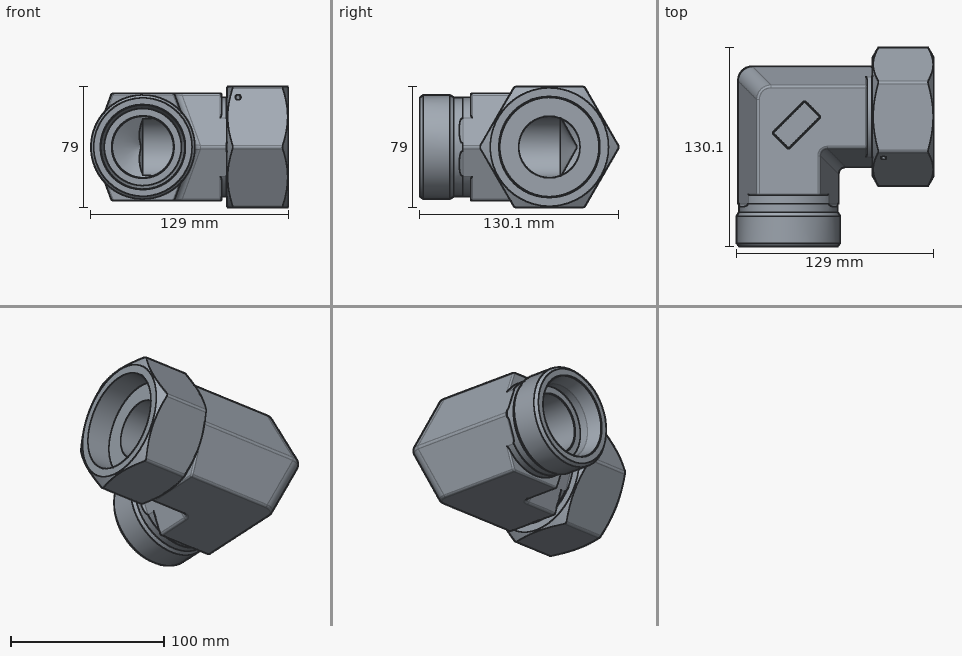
import cadquery as cq
import math

block_half_height = 35.1
flat_half_width = 20.4
ridge_reach = 33.22
ridge_round = 3.5
flat_edge_round = 2.0
outer_bend_round = 10.0
inner_bend_round = 5.0
block_end = 51.4
block_end_round = 1.0

neck_radius = 32.5
undercut_radius = 32.4
band_half_height = 18.6
male_band_end = 56.7
nut_band_end = 54.3
band_runout_round = 2.6

male_end = 84.8
male_radius = 34.0
male_back = 64.9
male_back_chamfer = 2.6
male_face_radius = 32.1
male_end_chamfer = 2.3
undercut_end = male_back - male_back_chamfer

bore_radius = 20.0
drill_half_angle = 60.0
drill_tip_length = bore_radius / math.tan(math.radians(drill_half_angle))
male_bore_bottom = -7.0
nut_bore_bottom = 0.0
bore_edge_chamfer = 0.4

socket_radius = 25.15
socket_mouth_radius = 27.4
socket_half_angle = 12.0
socket_taper_length = (socket_mouth_radius - socket_radius) / math.tan(math.radians(socket_half_angle))
socket_bottom = male_end - 16.9
socket_mouth_chamfer = 0.4

plate_offset = 5.3
plate_length = 30.0
plate_width = 15.2
plate_corner_round = 1.3
plate_depth = 0.5
plate_draft = 45.0

nut_start = 54.9
nut_end = 94.96
nut_across_flats = 79.0
nut_edge_round = 2.3
nut_face_radius = 38.6
nut_chamfer_angle = 30.0
nut_bore_radius = 33.0
spigot_end = 78.0

wire_radius = 1.62
wire_ring_radius = neck_radius
wire_x = 62.1
wire_hole_diameter = 3.5

oversize = 130.0
tolerance = 0.001


def on_leg(body, leg):
    """Move a body made for the male leg onto the named leg."""
    return body.rotate((0, 0, 0), (0, 0, 1), 90) if leg == "nut" else body


def turned(profile, leg):
    """Revolve (distance from the corner, radius) points about the axis of a leg."""
    points = [(radius, -distance) for distance, radius in profile]
    return on_leg(cq.Workplane("XY").polyline(points).close().revolve(360, (0, 0), (0, 1)), leg)


def leg_bar(end, leg):
    """Six-sided bar along a leg, starting far enough back to pass the mitre."""
    outline = [
        (ridge_reach, 0),
        (flat_half_width, block_half_height),
        (-flat_half_width, block_half_height),
        (-ridge_reach, 0),
        (-flat_half_width, -block_half_height),
        (flat_half_width, -block_half_height),
    ]
    start = cq.Workplane("XZ").workplane(offset=-ridge_reach)
    return on_leg(start.polyline(outline).close().extrude(end + ridge_reach), leg)


def highest(box):
    return max(abs(box.zmin), abs(box.zmax))


def on_mitre(edge):
    center = edge.Center()
    slanted = tolerance < abs(center.z) < block_half_height - tolerance
    return slanted and abs(center.x + center.y) < tolerance


def on_outer_bend(edge):
    return on_mitre(edge) and edge.Center().x < 0


def on_inner_bend(edge):
    return on_mitre(edge) and edge.Center().x > 0


def off_leg_end(edge):
    box = edge.BoundingBox()
    return box.xmin < nut_band_end - tolerance and box.ymax > tolerance - male_band_end


def on_ridge(edge):
    return highest(edge.BoundingBox()) < tolerance and off_leg_end(edge)


def on_block_end(edge):
    """Outer edges of the end faces, leaving out those along the band."""
    box = edge.BoundingBox()
    on_nut_side = max(abs(box.xmin - block_end), abs(box.xmax - block_end)) < tolerance
    on_male_side = max(abs(box.ymin + block_end), abs(box.ymax + block_end)) < tolerance
    return highest(box) > band_half_height + tolerance and (on_nut_side or on_male_side)


def fillet_where(body, radius, test, faces=None):
    """Round the edges that pass a test, on the whole body or on selected faces of it."""
    edges = body.faces(faces).edges() if faces else body.edges()
    return body.newObject([edge for edge in edges.vals() if test(edge)]).fillet(radius)


def make_block():
    mitre_points = [(-oversize, oversize), (oversize, -oversize), (oversize, oversize)]
    nut_side = cq.Workplane("XY").polyline(mitre_points).close().extrude(oversize, both=True)
    male_leg = leg_bar(male_band_end, "male").cut(nut_side)
    nut_leg = leg_bar(nut_band_end, "nut").intersect(nut_side)
    block = male_leg.union(nut_leg)
    block = fillet_where(block, outer_bend_round, on_outer_bend)
    block = fillet_where(block, inner_bend_round, on_inner_bend)
    block = fillet_where(block, ridge_round, on_ridge)
    block = fillet_where(block, flat_edge_round, off_leg_end, ">Z or <Z")

    above_band = (
        cq.Workplane("XY")
        .box(oversize, oversize, oversize, centered=(True, False, False))
        .translate((0, -block_end - oversize, band_half_height))
    )
    for step in (above_band, above_band.mirror("XY")):
        for leg in ("male", "nut"):
            block = block.cut(on_leg(step, leg))
    return fillet_where(block, block_end_round, on_block_end)


def make_neck(band_end, neck_end, leg):
    """Round neck with four flats that carry on the slanted faces and end in a round run-out."""
    neck = turned(
        [
            (0, 0),
            (0, neck_radius),
            (band_end, neck_radius),
            (band_end, undercut_radius),
            (neck_end, undercut_radius),
            (neck_end, 0),
        ],
        "male",
    )
    slant = math.degrees(math.atan2(ridge_reach - flat_half_width, block_half_height))
    flat = (
        cq.Workplane("XY", origin=(ridge_reach, -band_end - band_runout_round, 0))
        .box(oversize, oversize, 2 * oversize, centered=(False, False, True))
        .edges("<X and <Y")
        .fillet(band_runout_round)
        .rotate((ridge_reach, 0, 0), (ridge_reach, 1, 0), -slant)
    )
    for side in (flat, flat.mirror("YZ")):
        neck = neck.cut(side).cut(side.mirror("XY"))
    return on_leg(neck, leg)


def make_male_end():
    return turned(
        [
            (undercut_end, 0),
            (undercut_end, undercut_radius),
            (male_back, male_radius),
            (male_end - male_end_chamfer, male_radius),
            (male_end, male_face_radius),
            (male_end, 0),
        ],
        "male",
    )


def make_bore(bottom, end, leg):
    tip = bottom - drill_tip_length
    return turned([(tip, 0), (bottom, bore_radius), (end, bore_radius), (end, 0)], leg)


def make_socket():
    mouth = male_end - socket_mouth_chamfer
    bore_edge = socket_bottom - bore_edge_chamfer
    return turned(
        [
            (bore_edge, 0),
            (bore_edge, bore_radius),
            (socket_bottom, bore_radius + bore_edge_chamfer),
            (socket_bottom, socket_radius),
            (male_end - socket_taper_length, socket_radius),
            (mouth, socket_mouth_radius),
            (male_end, socket_mouth_radius + socket_mouth_chamfer),
            (male_end, 0),
        ],
        "male",
    )


def make_plate_recess():
    outline = cq.Sketch().rect(plate_length, plate_width).vertices().fillet(plate_corner_round)
    return (
        cq.Workplane("XY", origin=(plate_offset, -plate_offset, block_half_height))
        .transformed(rotate=(0, 0, 45))
        .placeSketch(outline)
        .extrude(-plate_depth, taper=plate_draft)
    )


def make_wire():
    return (
        cq.Workplane("XY")
        .center(wire_x, wire_ring_radius)
        .circle(wire_radius)
        .revolve(360, (0, -wire_ring_radius), (1, -wire_ring_radius))
    )


def make_elbow():
    return (
        make_block()
        .union(make_neck(male_band_end, undercut_end, "male"))
        .union(make_neck(nut_band_end, spigot_end, "nut"))
        .union(make_male_end())
        .cut(make_bore(male_bore_bottom, male_end, "male"))
        .cut(make_bore(nut_bore_bottom, spigot_end, "nut"))
        .cut(make_socket())
        .cut(make_plate_recess())
        .cut(make_wire())
    )


def make_nut():
    length = nut_end - nut_start
    hexagon = (
        cq.Workplane("YZ", origin=(nut_start, 0, 0))
        .polygon(6, nut_across_flats, circumscribed=True)
        .extrude(length)
        .edges("|X")
        .fillet(nut_edge_round)
        .rotate((0, 0, 0), (1, 0, 0), 90)
    )
    cone_base_radius = nut_face_radius + length / 2 / math.tan(math.radians(nut_chamfer_angle))
    double_cone = turned(
        [
            (nut_start, 0),
            (nut_start, nut_face_radius),
            (nut_start + length / 2, cone_base_radius),
            (nut_end, nut_face_radius),
            (nut_end, 0),
        ],
        "nut",
    )
    bore = cq.Workplane("YZ", origin=(nut_start, 0, 0)).circle(nut_bore_radius).extrude(length)
    wire_hole = (
        cq.Workplane("XZ", origin=(wire_x, 0, wire_ring_radius))
        .circle(wire_hole_diameter / 2)
        .extrude(oversize)
    )
    return hexagon.intersect(double_cone).cut(bore).cut(wire_hole).cut(make_wire())


elbow = make_elbow()
nut = make_nut()
wire = make_wire()
result = cq.Compound.makeCompound([*elbow.vals(), *nut.vals(), *wire.vals()])